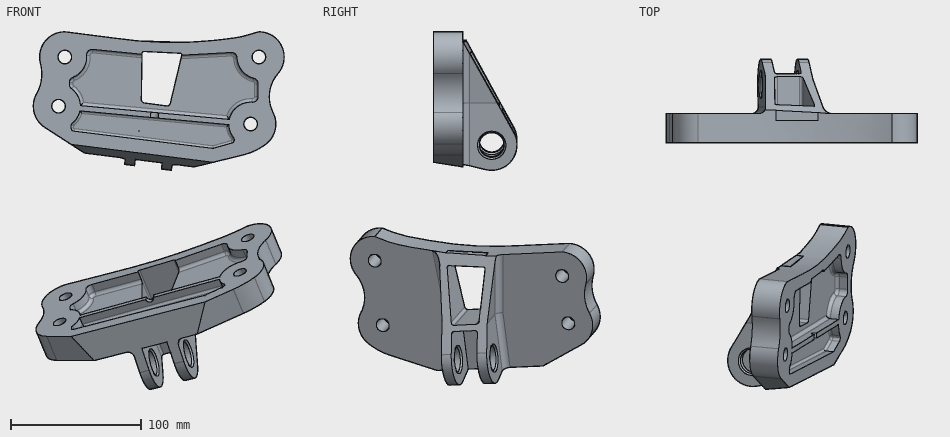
import cadquery as cq
import math


plate_thickness = 22.5
corner_radius = 19.5
bolt_diameter = 10.2
upper_left = (0, 0)
upper_right = (149.1, 0)
lower_left = (-4.8, -37.8)
lower_right = (142.8, -51.5)
bolt_centres = [upper_left, upper_right, lower_left, lower_right]
left_waist_radius = 30.9
right_waist_radius = 27
left_flank_angle = 32.8
right_flank_angle = 13.8
right_flank_end = (137.4, -75.2)
top_edge_points = [(24.9, 16.4), (49.8, 13.1), (88.5, 11.2), (118.0, 13.1), (135, 15.5)]
top_end_slope = 20

tilt = 7.2
tilt_sin = math.sin(math.radians(tilt))
tilt_cos = math.cos(math.radians(tilt))

overall_depth = 64.2
lug_radius = 19.5
pin_y = overall_depth - lug_radius
pin_w = -56.7
pin_diameter = 19.1
pin_mouth_diameter = 21.8
lug_thickness = 8.0
clevis_width = 36.5
clevis_left_u = 55.8
clevis_right_u = clevis_left_u + clevis_width
clevis_middle_u = clevis_left_u + clevis_width / 2
slot_top_w = -31.6
slot_corner_radius = 2
left_shoulder_w = -27
right_shoulder_w = -24.0
left_wall_x = 52
right_wall_angle = 78.6
ramp_angle = 61.2
base_fillet = 5.0
top_pad_corners = [(60.2, 12.3), (92.2, 11.4), (92.2, 7.7), (60.2, 7.7)]
top_pad_front_y = 17.4

underside_front_w = -66.0
pin_height = pin_w - underside_front_w
underside_angle = math.degrees(
    math.atan2(pin_height, pin_y) - math.asin(lug_radius / math.hypot(pin_y, pin_height))
)

window_corners = [(59.5, 4.2), (90.0, 2.7), (80.5, -37.8), (58.8, -35.0)]
window_top_corner_radius = 1.2
window_bottom_corner_radius = 2.5

boss_radius = 16.8
upper_pocket_depth = 9.5
upper_pocket_left = 3.5
upper_pocket_right = 148.5
upper_pocket_top = [(upper_pocket_left, 7.7), (74.5, 0.5), (upper_pocket_right, 4.6)]
upper_pocket_corner_radius = 4.5
upper_pocket_floor_fillet = 2.7
lower_pocket_depth = 8.0
lower_pocket_left = 4.8
lower_pocket_right = 130.2
lower_pocket_bottom = [(lower_pocket_right, -65.5), (113.8, -70.2), (lower_pocket_left, -56.7)]
lower_pocket_corner_radius = 2.5
lower_pocket_floor_fillet = 2
rib_width = 4.0
rib_slope = (lower_right[1] - lower_left[1]) / (lower_right[0] - lower_left[0])
notch_radius = 3.0
notch_top_w = -31.8
notch_length = 7.7

reach = 115.8
tolerance = 0.02


def polar(centre, radius, angle):
    radians = math.radians(angle)
    return (centre[0] + radius * math.cos(radians), centre[1] + radius * math.sin(radians))


def toward(start, end, distance):
    angle = math.degrees(math.atan2(end[1] - start[1], end[0] - start[0]))
    return polar(start, distance, angle)


def midpoint(first, second):
    return ((first[0] + second[0]) / 2, (first[1] + second[1]) / 2)


def tilted_to_xz(u, w):
    return (u * tilt_cos + w * tilt_sin, w * tilt_cos - u * tilt_sin)


def tilted(solid):
    return solid.rotate((0, 0, 0), (0, 1, 0), tilt)


def prism(sketch, y_start, y_end):
    """Extrude an XZ sketch between two Y positions."""
    return sketch.extrude(y_start - y_end).translate((0, y_start, 0))


def extrude_along_pin(sketch):
    """Extrude a Y-w sketch along the pin axis, through the whole part."""
    return tilted(sketch.extrude(2 * reach).translate((-reach / 2, 0, 0)))



def waist_centre(first, second, radius):
    """Centre of the waist arc touching two corner circles, to the right of first -> second."""
    middle = midpoint(first, second)
    half_span = math.dist(first, second) / 2
    offset = math.sqrt((corner_radius + radius) ** 2 - half_span**2)
    direction = math.degrees(math.atan2(second[1] - first[1], second[0] - first[0]))
    return polar(middle, offset, direction - 90)


def lower_right_blend_end():
    """End, on the lower right corner circle, of the arc that blends it into the right flank."""
    normal = polar((0, 0), 1, 90 + right_flank_angle)
    dx = right_flank_end[0] - lower_right[0]
    dz = right_flank_end[1] - lower_right[1]
    along_normal = dx * normal[0] + dz * normal[1]
    radius = (corner_radius**2 - dx**2 - dz**2) / (2 * (along_normal + corner_radius))
    centre = polar(right_flank_end, radius, 90 + right_flank_angle)
    return toward(lower_right, centre, -corner_radius)


def flank_meeting(left_start):
    """Point where the two lower flanks meet, below the underside."""
    left_slope = -math.tan(math.radians(left_flank_angle))
    right_slope = math.tan(math.radians(right_flank_angle))
    left_rise = left_start[1] - left_slope * left_start[0]
    right_rise = right_flank_end[1] - right_slope * right_flank_end[0]
    x = (right_rise - left_rise) / (left_slope - right_slope)
    return (x, left_rise + left_slope * x)


def make_outline_prism():
    """The plate's outline, carried back far enough to bound the bracket too."""
    top_left = (upper_left[0], upper_left[1] + corner_radius)
    top_right = (upper_right[0], upper_right[1] + corner_radius)
    left_flank_start = polar(lower_left, corner_radius, 270 - left_flank_angle)
    left_waist = waist_centre(upper_left, lower_left, left_waist_radius)
    left_waist_middle = toward(left_waist, midpoint(upper_left, lower_left), left_waist_radius)
    right_waist = waist_centre(lower_right, upper_right, right_waist_radius)
    right_waist_middle = toward(right_waist, midpoint(upper_right, lower_right), right_waist_radius)
    outline = (
        cq.Workplane("XZ")
        .moveTo(*top_left)
        .spline(
            top_edge_points + [top_right],
            tangents=[polar((0, 0), 1, -tilt), polar((0, 0), 1, top_end_slope)],
            includeCurrent=True,
        )
        .threePointArc(
            polar(upper_right, corner_radius, 0),
            toward(upper_right, right_waist, corner_radius),
        )
        .threePointArc(right_waist_middle, toward(lower_right, right_waist, corner_radius))
        .threePointArc(polar(lower_right, corner_radius, 0), lower_right_blend_end())
        .tangentArcPoint(right_flank_end, relative=False)
        .lineTo(*flank_meeting(left_flank_start))
        .lineTo(*left_flank_start)
        .threePointArc(
            polar(lower_left, corner_radius, 180),
            toward(lower_left, left_waist, corner_radius),
        )
        .threePointArc(left_waist_middle, toward(upper_left, left_waist, corner_radius))
        .threePointArc(polar(upper_left, corner_radius, 135), top_left)
        .close()
    )
    return prism(outline, 0, reach)



def make_below_ramp():
    """Everything under the sloping ramp that runs down from the plate's top onto the lug rounds."""
    ramp_tangent = polar((pin_y, pin_w), lug_radius, 90 - ramp_angle)
    ramp_top = polar(ramp_tangent, 2 * reach, 180 - ramp_angle)
    ramp_bottom = polar(ramp_tangent, reach, -ramp_angle)
    sketch = (
        cq.Workplane("YZ")
        .polyline([ramp_top, ramp_bottom, (ramp_top[0], ramp_bottom[1])])
        .close()
    )
    return extrude_along_pin(sketch)


def make_top_pad():
    """Flat-topped pad that bridges the dip in the plate's top edge above the window."""
    sketch = cq.Workplane("XZ").polyline(top_pad_corners).close()
    return prism(sketch, top_pad_front_y, reach).intersect(make_below_ramp())


def make_bracket():
    """Clevis bracket with its side walls and ramp; its ends are trimmed later."""
    right_shoulder = tilted_to_xz(clevis_right_u, right_shoulder_w)
    left_shoulder = (left_wall_x, tilted_to_xz(clevis_left_u, left_shoulder_w)[1])
    side_walls = (
        cq.Workplane("XZ")
        .polyline([
            (left_wall_x, reach / 2),
            polar(right_shoulder, reach, right_wall_angle),
            right_shoulder,
            tilted_to_xz(clevis_right_u, -reach),
            tilted_to_xz(clevis_left_u, -reach),
            left_shoulder,
        ])
        .close()
    )
    slot = (
        cq.Workplane("XY")
        .box(clevis_width - 2 * lug_thickness, reach, reach, centered=False)
        .edges("|Y and >Z")
        .fillet(slot_corner_radius)
        .translate((clevis_left_u + lug_thickness, plate_thickness, slot_top_w - reach))
    )
    bracket = prism(side_walls, plate_thickness / 2, reach)
    return bracket.intersect(make_below_ramp()).cut(tilted(slot))


def make_underside_trim():
    """Everything below the underside plane and outside the lug rounds."""
    pin_centre = (pin_y, pin_w)
    front = polar((0, underside_front_w), -reach, underside_angle)
    ramp_tangent = polar(pin_centre, lug_radius, 90 - ramp_angle)
    sketch = (
        cq.Workplane("YZ")
        .moveTo(*front)
        .lineTo(*polar(pin_centre, lug_radius, underside_angle - 90))
        .threePointArc(polar(pin_centre, lug_radius, 0), ramp_tangent)
        .lineTo(2 * reach, ramp_tangent[1])
        .lineTo(2 * reach, -2 * reach)
        .lineTo(front[0], -2 * reach)
        .close()
    )
    return extrude_along_pin(sketch)


def make_pin_holes():
    """Pin bore of both lugs, chamfered at each mouth."""
    bore = pin_diameter / 2
    mouth = pin_mouth_diameter / 2
    chamfer = mouth - bore
    lug_bore = (
        cq.Workplane("XY")
        .polyline([
            (0, 0),
            (0, mouth),
            (chamfer, bore),
            (lug_thickness - chamfer, bore),
            (lug_thickness, mouth),
            (lug_thickness, 0),
        ])
        .close()
        .revolve(360, (0, 0, 0), (1, 0, 0))
    )
    left = lug_bore.translate((clevis_left_u, pin_y, pin_w))
    right = left.translate((clevis_width - lug_thickness, 0, 0))
    return tilted(left.union(right))


def make_plate_with_bracket():
    """Fillet the bracket onto an oversized slab, then trim both to the outline and the underside."""
    slab = cq.Workplane("XY").box(4 * reach, plate_thickness, 4 * reach)
    slab = slab.translate((0, plate_thickness / 2, 0))
    joined = slab.union(make_bracket())

    def is_outer_base_edge(edge):
        box = edge.BoundingBox()
        nearest, farthest = plate_thickness - tolerance, plate_thickness + tolerance
        on_back_face = box.ymin > nearest and box.ymax < farthest
        on_slab_rim = box.xmax > reach or box.zmax > reach
        middle_x = tilted_to_xz(clevis_middle_u, edge.Center().z)[0]
        beside_slot = abs(edge.Center().x - middle_x) < clevis_width / 2 - lug_thickness / 2
        return on_back_face and box.zlen > lug_radius and not on_slab_rim and not beside_slot

    base_edges = [edge for edge in joined.edges().vals() if is_outer_base_edge(edge)]
    filleted = joined.newObject(base_edges).fillet(base_fillet)
    return filleted.intersect(make_outline_prism()).cut(make_underside_trim())



def rib_centre_z(x):
    """The rib runs along the line joining the two lower bolts."""
    return lower_left[1] + rib_slope * (x - lower_left[0])


def rib_edge(x, side):
    """Point on the upper (side = 1) or lower (side = -1) edge of the rib."""
    half_height = rib_width / 2 * math.hypot(1, rib_slope)
    return (x, rib_centre_z(x) + side * half_height)


def make_pocket(corners, depth, pocket_corner_radius, floor_fillet):
    """A pocket with rounded floor; its corners are rounded except at the rib and slight bends."""
    slight_bends = [upper_pocket_top[1], lower_pocket_bottom[1]]
    bosses = cq.Workplane("XZ").pushPoints(bolt_centres).circle(boss_radius)
    pocket = prism(cq.Workplane("XZ").polyline(corners).close(), 0, depth)
    pocket = pocket.cut(prism(bosses, 0, depth))

    def is_rounded(edge):
        centre = edge.Center()
        on_rib = abs(centre.z - rib_centre_z(centre.x)) < rib_width
        at_bend = any(abs(centre.x - bend[0]) < tolerance for bend in slight_bends)
        return not on_rib and not at_bend

    corner_edges = [edge for edge in pocket.edges("|Y").vals() if is_rounded(edge)]
    pocket = pocket.newObject(corner_edges).fillet(pocket_corner_radius)
    return pocket.faces(">Y").edges().fillet(floor_fillet)


def make_pockets():
    upper_corners = upper_pocket_top + [rib_edge(upper_pocket_right, 1), rib_edge(upper_pocket_left, 1)]
    lower_corners = [rib_edge(lower_pocket_left, -1), rib_edge(lower_pocket_right, -1)] + lower_pocket_bottom
    upper = make_pocket(
        upper_corners, upper_pocket_depth, upper_pocket_corner_radius, upper_pocket_floor_fillet
    )
    lower = make_pocket(
        lower_corners, lower_pocket_depth, lower_pocket_corner_radius, lower_pocket_floor_fillet
    )
    return upper.union(lower)


def make_rib_notch():
    """Half-round groove across the rib, midway between the lugs."""
    groove = cq.Workplane("XY").center(clevis_middle_u, 0).circle(notch_radius).extrude(-notch_length)
    return tilted(groove.translate((0, 0, notch_top_w)))


def make_window():
    sketch = cq.Workplane("XZ").polyline(window_corners).close()
    window = prism(sketch, -2, reach)
    long_edges = window.edges("|Y").vals()
    middle_z = window.val().Center().z
    upper_edges = [edge for edge in long_edges if edge.Center().z > middle_z]
    lower_edges = [edge for edge in long_edges if edge.Center().z < middle_z]
    window = window.newObject(lower_edges).fillet(window_bottom_corner_radius)
    return window.newObject(upper_edges).fillet(window_top_corner_radius)


def make_bolt_holes():
    circles = cq.Workplane("XZ").pushPoints(bolt_centres).circle(bolt_diameter / 2)
    return prism(circles, 0, plate_thickness)


result = (
    make_plate_with_bracket()
    .union(make_top_pad())
    .cut(make_pin_holes())
    .cut(make_window())
    .cut(make_pockets())
    .cut(make_rib_notch())
    .cut(make_bolt_holes())
)